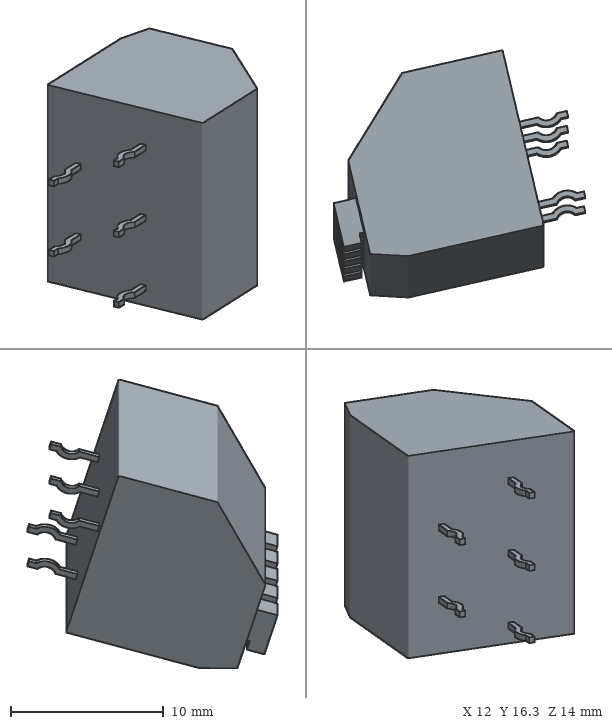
import cadquery as cq
import math

POLE_COUNT = 5
POLE_PITCH = 2.5

BODY_WIDTH = 12.0
BODY_DEPTH = 11.5
BODY_HEIGHT = 14.0
SMALL_BEVEL_X = 0.7
SMALL_BEVEL_Y = 2.4
LARGE_BEVEL_X = 4.9
LARGE_BEVEL_Y = 4.75
EDGE_RADIUS = 0.1

BUTTON_LEFT = 1.85
BUTTON_WIDTH = 3.0
BUTTON_DEPTH = 1.5
BUTTON_HEIGHT = 1.7
LIP_OVERHANG = 0.65
LIP_GAP = 0.3
FIRST_BUTTON_Z = 1.55

PIN_LENGTH = 3.3
PIN_THICKNESS = 0.4
LEFT_ROW_X = 2.4
ROW_SPACING = 5.0
FIRST_PIN_Z = 1.25
BEND_Y = -2.0
BEND_INNER_RADIUS = 0.75
BEND_OUTER_RADIUS = BEND_INNER_RADIUS + PIN_THICKNESS
BEND_CENTER_OFFSET = 0.62


def extrude_along_z(profile, center_z, height):
    """Extrude an XY profile so that it is centred on center_z."""
    return profile.extrude(height).translate((0, 0, center_z - height / 2))


def make_body():
    outline = cq.Workplane("XY").polyline([
        (0, 0),
        (BODY_WIDTH, 0),
        (BODY_WIDTH, BODY_DEPTH - LARGE_BEVEL_Y),
        (BODY_WIDTH - LARGE_BEVEL_X, BODY_DEPTH),
        (SMALL_BEVEL_X, BODY_DEPTH),
        (0, BODY_DEPTH - SMALL_BEVEL_Y),
    ]).close()
    return outline.extrude(BODY_HEIGHT).edges("|Z").fillet(EDGE_RADIUS)


def make_button(center_z):
    right = BUTTON_LEFT + BUTTON_WIDTH
    neck_left = BUTTON_LEFT + LIP_OVERHANG
    lip_y = BODY_DEPTH + LIP_GAP
    tip_y = BODY_DEPTH + BUTTON_DEPTH
    profile = cq.Workplane("XY").polyline([
        (neck_left, BODY_DEPTH),
        (right, BODY_DEPTH),
        (right, tip_y),
        (BUTTON_LEFT, tip_y),
        (BUTTON_LEFT, lip_y),
        (neck_left, lip_y),
    ]).close()
    return extrude_along_z(profile, center_z, BUTTON_HEIGHT)


def make_pin(center_x, bulge_sign, center_z):
    """Flat pin with a concentric-arc bend; bulge_sign is +1 toward +X, -1 toward -X."""
    half = PIN_THICKNESS / 2
    inner_rise = math.sqrt(BEND_INNER_RADIUS**2 - (BEND_CENTER_OFFSET - half)**2)
    outer_rise = math.sqrt(BEND_OUTER_RADIUS**2 - (BEND_CENTER_OFFSET + half)**2)

    def point(offset, y):
        return (center_x + bulge_sign * offset, y)

    profile = (
        cq.Workplane("XY")
        .moveTo(*point(-half, 0))
        .lineTo(*point(-half, BEND_Y + inner_rise))
        .threePointArc(
            point(BEND_INNER_RADIUS - BEND_CENTER_OFFSET, BEND_Y),
            point(-half, BEND_Y - inner_rise),
        )
        .lineTo(*point(-half, -PIN_LENGTH))
        .lineTo(*point(half, -PIN_LENGTH))
        .lineTo(*point(half, BEND_Y - outer_rise))
        .threePointArc(
            point(BEND_OUTER_RADIUS - BEND_CENTER_OFFSET, BEND_Y),
            point(half, BEND_Y + outer_rise),
        )
        .lineTo(*point(half, 0))
        .close()
    )
    return extrude_along_z(profile, center_z, PIN_THICKNESS)


result = make_body()
for pole in range(POLE_COUNT):
    pole_z = pole * POLE_PITCH
    result = result.union(make_button(FIRST_BUTTON_Z + pole_z))
    if pole % 2 == 0:
        pin = make_pin(LEFT_ROW_X + ROW_SPACING, -1, FIRST_PIN_Z + pole_z)
    else:
        pin = make_pin(LEFT_ROW_X, 1, FIRST_PIN_Z + pole_z)
    result = result.union(pin)